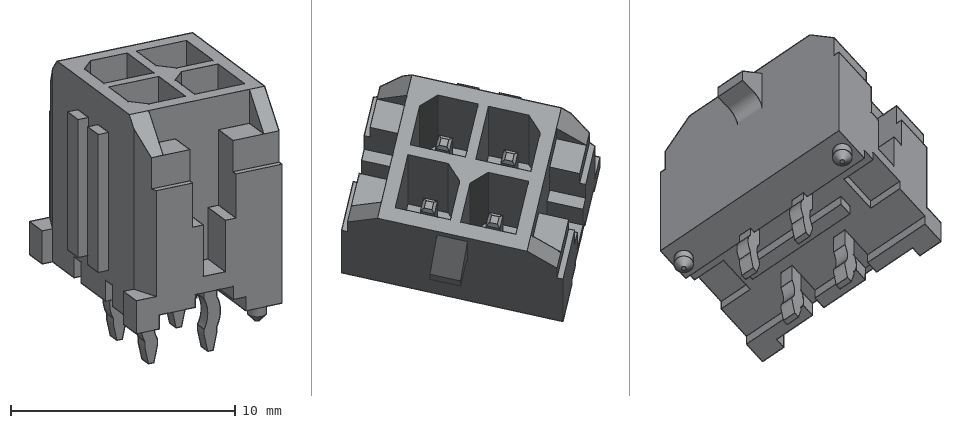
import cadquery as cq

PITCH = 3.0
SIDES = (-1, 1)

BODY_SIZE = 6.85
BODY_MID_Y = -0.04
BODY_HEIGHT = 9.92
OVERALL_HEIGHT = 13.09
BACK_Y = BODY_MID_Y + BODY_SIZE / 2
FRONT_Y = BODY_MID_Y - BODY_SIZE / 2
CORE_X = BODY_SIZE / 2

FLANK_X = 10.15 / 2
SHOULDER_X = 9.6 / 2
STEP_Z = 6.75
SHOULDER_Z = 8.27
BACK_GUSSET = 0.77
FRONT_GUSSET = 0.98
SLOT_WIDTH, SLOT_FLOOR_Z = 2.19, 4.61
KEYWAY_WIDTH, KEYWAY_FLOOR_Z = 1.11, 2.11
NOTCH_WIDTH, NOTCH_TOP_Z = 1.92, 1.31

BEVEL_X = 3.86
BEVEL_DEPTH = 0.5
FRONT_PROJECTION = 0.52
FOOT_HEIGHT = 1.61
RIB_WIDTH = 1.0
RIB_X = 0.95
RIB_TOP_Z = 8.31

CAVITY_SIZE = 2.53
CAVITY_OFFSET_Y = -0.04
CAVITY_CHAMFER = 0.68
CAVITY_FLOOR_Z = KEYWAY_FLOOR_Z

FLOOR_Z = 0.68
WALL = 0.64
BACK_WALL = 1.83
MID_WALL_Y = -0.01
MID_WALL_X = (PITCH + CAVITY_SIZE) / 2
PIN_SLOT_HEIGHT = 1.02

LATCH_WIDTH = 1.4
LATCH_REACH = 1.4
LATCH_TOP_Z = 9.37
LATCH_TIP_TOP_Z = 7.78
LATCH_TIP_BOTTOM_Z = 6.96
LATCH_ROOT_Z = 6.41
LATCH_RADIUS = 0.6

PEG_DIAMETER = 0.86
PEG_TIP_DIAMETER = 0.21
PEG_X, PEG_Y = 4.5, 2.42
PEG_STRAIGHT = 0.5
PEG_LENGTH = 0.85

PIN_SIZE = 0.64
PIN_TOP_Z = 7.2
PIN_TIP_SIZE = 0.35
PIN_END_SIZE = 0.27
PIN_END_Z = BODY_HEIGHT - OVERALL_HEIGHT
BEND_TOP_Z = -0.58
BEND_BOTTOM_Z = -2.05
BEND_OFFSET = 0.18
TAPER_START_Z = -2.33

PIN_POSITIONS = [(i * PITCH / 2, j * PITCH / 2) for i in SIDES for j in SIDES]


def box(x0, x1, y0, y1, z0, z1):
    """Box between two opposite corners."""
    size = (abs(x1 - x0), abs(y1 - y0), abs(z1 - z0))
    return cq.Workplane("XY").box(*size).translate(((x0 + x1) / 2, (y0 + y1) / 2, (z0 + z1) / 2))


def block():
    """Housing outline in XZ, carried from the front face to the back face."""
    half = [
        (FLANK_X, 0),
        (FLANK_X, STEP_Z),
        (SHOULDER_X, STEP_Z),
        (SHOULDER_X, SHOULDER_Z),
        (CORE_X, BODY_HEIGHT),
    ]
    mirrored = [(-x, z) for x, z in reversed(half)]
    outline = cq.Workplane("XZ", origin=(0, BACK_Y, 0)).polyline(half + mirrored).close()
    return outline.extrude(BODY_SIZE)


def flank_cut(side, width, z0, z1):
    """Cut of a given Y width, centred on the block, from one flank in to the core."""
    half = width / 2
    return box(side * CORE_X, side * FLANK_X, BODY_MID_Y - half, BODY_MID_Y + half, z0, z1)


def flank_cuts(side):
    """Shoulder recess, stepped guide slot and low notch in one flank."""
    recess = box(side * CORE_X, side * FLANK_X, FRONT_Y + FRONT_GUSSET, BACK_Y - BACK_GUSSET,
                 SHOULDER_Z, BODY_HEIGHT)
    slot = flank_cut(side, SLOT_WIDTH, SLOT_FLOOR_Z, BODY_HEIGHT)
    keyway = flank_cut(side, KEYWAY_WIDTH, KEYWAY_FLOOR_Z, BODY_HEIGHT)
    notch = flank_cut(side, NOTCH_WIDTH, 0, NOTCH_TOP_Z)
    return recess.union(slot).union(keyway).union(notch)


def front_bevel(side):
    """Wedge removed from a front vertical corner above the foot."""
    wedge = [
        (side * BEVEL_X, FRONT_Y),
        (side * FLANK_X, FRONT_Y),
        (side * FLANK_X, FRONT_Y + BEVEL_DEPTH),
    ]
    plane = cq.Workplane("XY", origin=(0, 0, FOOT_HEIGHT))
    return plane.polyline(wedge).close().extrude(BODY_HEIGHT - FOOT_HEIGHT)


def front_pads(side):
    """Foot and rib standing off the front face on one side."""
    pad_y = FRONT_Y - FRONT_PROJECTION
    foot = box(side * BEVEL_X, side * FLANK_X, pad_y, FRONT_Y, 0, FOOT_HEIGHT)
    rib_mid = side * RIB_X
    rib = box(rib_mid - RIB_WIDTH / 2, rib_mid + RIB_WIDTH / 2, pad_y, FRONT_Y,
              FOOT_HEIGHT, RIB_TOP_Z)
    return foot.union(rib)


def underside_cuts():
    """Channels across the underside, leaving front, middle and back walls."""
    front, back = FRONT_Y + WALL, BACK_Y - BACK_WALL
    channels = box(-FLANK_X, FLANK_X, front, back, 0, FLOOR_Z)
    mid_wall = box(-MID_WALL_X, MID_WALL_X, MID_WALL_Y - WALL / 2, MID_WALL_Y + WALL / 2, 0, FLOOR_Z)
    return channels.cut(mid_wall)


def pin_slot(x):
    """Slot through the front wall back to a front-row pin."""
    return box(x - PIN_SIZE / 2, x + PIN_SIZE / 2, FRONT_Y, -PITCH / 2, 0, PIN_SLOT_HEIGHT)


def cavity(x, y):
    """Open-topped cavity around a pin, with one front corner cut off as a key."""
    half = CAVITY_SIZE / 2
    key = 1 if x * y < 0 else -1
    outline = [
        (-key * half, half),
        (key * half, half),
        (key * half, CAVITY_CHAMFER - half),
        (key * (half - CAVITY_CHAMFER), -half),
        (-key * half, -half),
    ]
    plane = cq.Workplane("XY", origin=(x, y + CAVITY_OFFSET_Y, CAVITY_FLOOR_Z))
    return plane.polyline(outline).close().extrude(BODY_HEIGHT - CAVITY_FLOOR_Z)


def latch():
    """Sloped hook on the back face with a rounded root underneath."""
    tip_y = BACK_Y + LATCH_REACH
    arc_y = BACK_Y + LATCH_RADIUS
    return (
        cq.Workplane("YZ", origin=(-LATCH_WIDTH / 2, 0, 0))
        .moveTo(BACK_Y, LATCH_TOP_Z)
        .lineTo(tip_y, LATCH_TIP_TOP_Z)
        .lineTo(tip_y, LATCH_TIP_BOTTOM_Z)
        .lineTo(arc_y, LATCH_ROOT_Z + LATCH_RADIUS)
        .radiusArc((BACK_Y, LATCH_ROOT_Z), -LATCH_RADIUS)
        .close()
        .extrude(LATCH_WIDTH)
    )


def peg(side):
    """Locating peg with a conical tip below one back corner."""
    axis_profile = [
        (0, 0),
        (PEG_DIAMETER / 2, 0),
        (PEG_DIAMETER / 2, -PEG_STRAIGHT),
        (PEG_TIP_DIAMETER / 2, -PEG_LENGTH),
        (0, -PEG_LENGTH),
    ]
    turned = cq.Workplane("XZ").polyline(axis_profile).close().revolve(360, (0, 0), (0, 1))
    return turned.translate((side * PEG_X, PEG_Y, 0))


def pin_hole(x, y):
    """Hole through the cavity floor that fits the pin."""
    half = PIN_SIZE / 2
    return box(x - half, x + half, y - half, y + half, 0, CAVITY_FLOOR_Z)


def make_housing():
    """Housing with flanks, feet, ribs, pegs, cavities and latch."""
    body = block().cut(underside_cuts())
    for side in SIDES:
        body = body.cut(flank_cuts(side)).cut(front_bevel(side))
        body = body.union(front_pads(side)).union(peg(side))
        body = body.cut(pin_slot(side * PITCH / 2))
    for x, y in PIN_POSITIONS:
        body = body.cut(cavity(x, y)).cut(pin_hole(x, y))
    return body.union(latch())


def make_pin(x, y):
    """Square pin with a bevelled upper end and a kinked, tapered solder tail."""
    half = PIN_SIZE / 2
    bow = BEND_OFFSET if y > 0 else -BEND_OFFSET
    bend_mid_z = (BEND_TOP_Z + BEND_BOTTOM_Z) / 2
    bevel = (PIN_SIZE - PIN_TIP_SIZE) / 2
    profile = (
        cq.Workplane("YZ", origin=(-half, 0, 0))
        .moveTo(half, PIN_TOP_Z)
        .lineTo(half, BEND_TOP_Z)
        .threePointArc((half + bow, bend_mid_z), (half, BEND_BOTTOM_Z))
        .lineTo(half, TAPER_START_Z)
        .lineTo(PIN_END_SIZE / 2, PIN_END_Z)
        .lineTo(-PIN_END_SIZE / 2, PIN_END_Z)
        .lineTo(-half, TAPER_START_Z)
        .lineTo(-half, BEND_BOTTOM_Z)
        .threePointArc((bow - half, bend_mid_z), (-half, BEND_TOP_Z))
        .lineTo(-half, PIN_TOP_Z)
        .close()
    )
    pin = profile.extrude(PIN_SIZE).faces(">Z").chamfer(bevel)
    return pin.translate((x, y, 0))


housing = make_housing()
pins = [make_pin(x, y) for x, y in PIN_POSITIONS]
result = cq.Compound.makeCompound([housing.val(), *(pin.val() for pin in pins)])